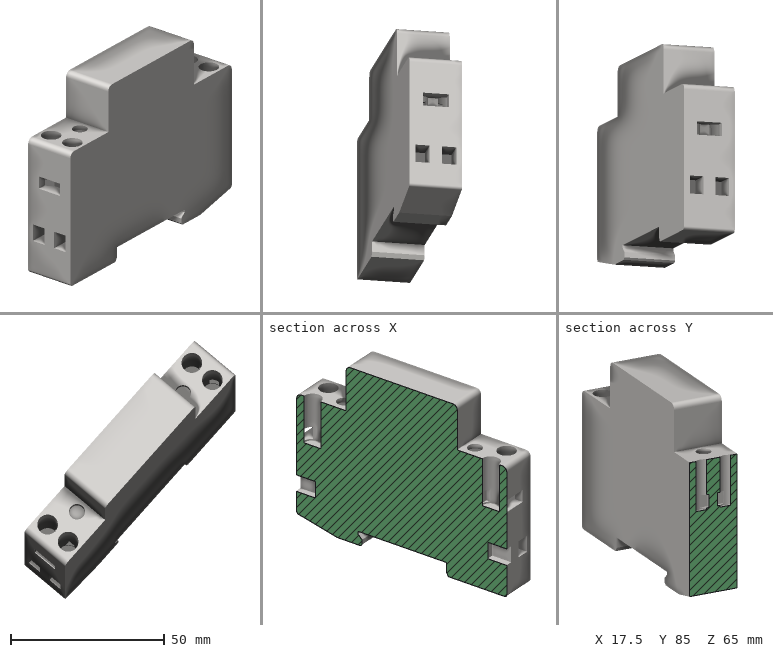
import cadquery as cq

width = 17.5
length = 85.0
height = 65.0
half_length = length / 2
shoulder_height = 48.45
tower_half_length = 22.5
top_radius = 1.95
bottom_radius = 1.0

rail_top = 5.0
rail_front = -17.9
rail_back = 17.6
lip_back_height = 4.1
lip_tip = 15.9
lip_tip_height = 2.5
lip_chamfer = 0.7
foot_chamfer_length = 0.85
foot_chamfer_height = 1.45
slope_start = 25.9
slope_height = 3.7

well_diameter = 6.7
well_x = 4.4
well_y = 35.95
well_depth = 17.4
screw_diameter = 5.2
screw_y = 26.4
screw_depth = 1.7

wire_width = 4.8
wire_height = 5.95
wire_center_z = 15.0
wire_depth = 7.65
slot_width = 8.7
slot_height = 4.4
slot_center_z = 33.8
slot_depth = 4.7
slot_arm_depth = 10.2
slot_web_width = 3.4


def make_housing():
    """Extrude the stepped side outline across the width and round its outer edges."""
    outline = [
        (-half_length, 0),
        (rail_front - foot_chamfer_length, 0),
        (rail_front, foot_chamfer_height),
        (rail_front, rail_top),
        (rail_back, rail_top),
        (rail_back, lip_back_height),
        (lip_tip, lip_tip_height),
        (lip_tip, lip_chamfer),
        (lip_tip + lip_chamfer, 0),
        (slope_start, 0),
        (half_length, slope_height),
        (half_length, shoulder_height),
        (tower_half_length, shoulder_height),
        (tower_half_length, height),
        (-tower_half_length, height),
        (-tower_half_length, shoulder_height),
        (-half_length, shoulder_height),
    ]
    body = cq.Workplane("YZ").polyline(outline).close().extrude(width / 2, both=True)

    def edges_at(corners):
        points = [cq.Vector(0, y, z) for y, z in corners]
        found = body.edges("|X").vals()
        return [min(found, key=lambda edge: (edge.Center() - point).Length) for point in points]

    top_corners = [(side * half_length, shoulder_height) for side in (-1, 1)]
    top_corners += [(side * tower_half_length, height) for side in (-1, 1)]
    body = body.newObject(edges_at(top_corners)).fillet(top_radius)
    bottom_corners = [(-half_length, 0), (half_length, slope_height)]
    return body.newObject(edges_at(bottom_corners)).fillet(bottom_radius)


def shoulder_holes(points, diameter, depth):
    """Vertical cylinders reaching down from the shoulders."""
    plane = cq.Workplane("XY").workplane(offset=shoulder_height)
    return plane.pushPoints(points).circle(diameter / 2).extrude(-depth)


def end_pocket(side, x, z, size_x, size_z, depth):
    """Rectangular block reaching inward from the end face on the given side of Y."""
    center_y = side * (half_length - depth / 2)
    return cq.Workplane("XY").box(size_x, depth, size_z).translate((x, center_y, z))


slot_arm_width = (slot_width - slot_web_width) / 2
slot_arm_x = (slot_width - slot_arm_width) / 2

result = make_housing()
for side in (-1, 1):
    wells = [(-well_x, side * well_y), (well_x, side * well_y)]
    result = result.cut(shoulder_holes(wells, well_diameter, well_depth))
    result = result.cut(shoulder_holes([(0, side * screw_y)], screw_diameter, screw_depth))
    result = result.cut(end_pocket(side, 0, slot_center_z, slot_width, slot_height, slot_depth))
    for x in (-slot_arm_x, slot_arm_x):
        result = result.cut(end_pocket(side, x, slot_center_z, slot_arm_width, slot_height, slot_arm_depth))
    for x in (-well_x, well_x):
        result = result.cut(end_pocket(side, x, wire_center_z, wire_width, wire_height, wire_depth))